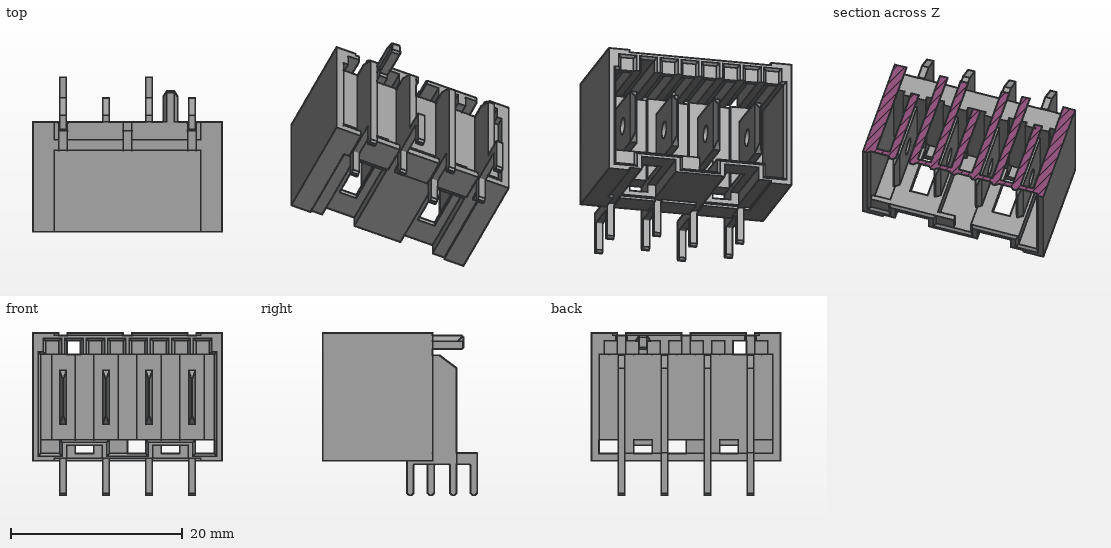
import cadquery as cq

WIDTH = 22.0
DEPTH = 12.8
HEIGHT = 14.9

CAVITY_HALF = 10.1
FLOOR_Z = 0.87
CEILING_Z = 12.4
LEAD_IN = 0.3
WALL_FRONT = 9.5
WALL_BACK = 11.8

KEY_PITCH = 2.5
KEY_COUNT = 8
KEY_WIDTH = 1.55
KEY_TOP_Z = 13.96
OPEN_KEY = 1
PLUG_DEPTH = 0.6

BRIDGE_CENTRES = (-5.0, 5.0)
BRIDGE_HALF = 2.9
BRIDGE_TOP_Z = 2.46
GROOVE_WIDTH = 4.1
GROOVE_TOP_Z = 1.82
WINDOW_WIDTH = 2.14
WINDOW_FRONT = 2.75

RELIEF_WIDTH = 17.06
RELIEF_DEPTH = 0.3
RELIEF_END = 9.5
BAR_BACK = 10.75
TOP_SLOT_WIDTH = 1.0
TOP_SLOT_CENTRE = 0.0
TOP_SLOT_OUTER = 7.5
CENTRE_SLOT_CHAMFER = 0.08
OUTER_SLOT_CHAMFER = 0.17

PITCH = 5.0
CONTACT_COUNT = 4
CONTACT_THICKNESS = 0.8
BLADE_TIP_Y = 1.05
BLADE_Z = 7.4
BLADE_HEIGHT = 6.3
BLADE_HOLE_Y = 5.45
BLADE_HOLE_DIAMETER = 2.0
TIP_LENGTH = 1.0
TIP_TAPER_Z = 0.95
TIP_THICKNESS = 0.12
PILLAR_WIDTH = PITCH - WINDOW_WIDTH
PILLAR_DEPTH = 0.5
END_PILLAR_TRIM = 0.14
PLATE_BACK = 15.6
PLATE_TOP_Z = 12.3
PLATE_TOP_BACK = 13.6
PLATE_SLOPE_Z = 10.8
PLATE_FRONT_CHAMFER = 0.15
FOOT_TOP_Z = 0.94
FOOT_BOTTOM_Z = -0.4
FOOT_FILLET = 0.13
PIN_WIDTH = 0.8
PIN_SPACING = 5.0
PIN_BOTTOM_Z = -4.0
PIN_CHAMFER = 0.26
FAR_PIN_BACK = 18.0
NEAR_PIN_BACK = PLATE_BACK

PEG_X = 5.0
PEG_WIDTH = 1.72
PEG_TOP_WIDTH = 0.86
PEG_STEM_WIDTH = 1.0
PEG_END = 16.4
PEG_BOTTOM_Z = 13.0
PEG_SHOULDER_Z = 13.95
PEG_TOP_Z = HEIGHT - RELIEF_DEPTH
PEG_SIDE_TAPER = 0.67
PEG_CHAMFER = 0.23

OVERCUT = 1.0


def box(x0, x1, y0, y1, z0, z1):
    return cq.Workplane("XY").box(x1 - x0, y1 - y0, z1 - z0, centered=False).translate((x0, y0, z0))


def slab(x, width, y0, y1, z0, z1):
    """Box centred on x."""
    return box(x - width / 2, x + width / 2, y0, y1, z0, z1)


def row(count, pitch):
    return [(i - (count - 1) / 2) * pitch for i in range(count)]


KEYS = row(KEY_COUNT, KEY_PITCH)
CONTACTS = row(CONTACT_COUNT, PITCH)


def mouth_outline(grow):
    """Cavity outline as (x, z) points, widened by grow on all sides but the rib ends."""
    side = CAVITY_HALF + grow
    floor = FLOOR_Z - grow
    shoulder = CEILING_Z + grow
    points = [(-side, shoulder), (-side, floor)]
    for x in BRIDGE_CENTRES:
        half = BRIDGE_HALF - grow
        top = BRIDGE_TOP_Z - grow
        points += [(x - half, floor), (x - half, top), (x + half, top), (x + half, floor)]
    points += [(side, floor), (side, shoulder)]
    for x in reversed(KEYS):
        half = KEY_WIDTH / 2 + grow
        top = KEY_TOP_Z + grow
        right_z = shoulder if x == KEYS[-1] else CEILING_Z
        left_z = shoulder if x == KEYS[0] else CEILING_Z
        points += [(x + half, right_z), (x + half, top), (x - half, top), (x - half, left_z)]
    return points


def wire_at(points, y):
    return cq.Wire.makePolygon([cq.Vector(x, y, z) for x, z in points], close=True)


def cut_cavity(body):
    mouth = wire_at(mouth_outline(LEAD_IN), 0)
    throat = wire_at(mouth_outline(0), LEAD_IN)
    lead_in = cq.Solid.makeLoft([mouth, throat], True)
    body = body.cut(cq.Workplane(obj=lead_in))
    cavity = box(-CAVITY_HALF, CAVITY_HALF, LEAD_IN, WALL_FRONT, FLOOR_Z, CEILING_Z)
    for x in BRIDGE_CENTRES:
        cavity = cavity.cut(slab(x, 2 * BRIDGE_HALF, 0, DEPTH, 0, BRIDGE_TOP_Z))
    for x in CONTACTS:
        left = x - PILLAR_WIDTH / 2 + (END_PILLAR_TRIM if x == CONTACTS[0] else 0)
        right = x + PILLAR_WIDTH / 2
        cavity = cavity.cut(box(left, right, WALL_FRONT - PILLAR_DEPTH, DEPTH, BRIDGE_TOP_Z, CEILING_Z))
    return body.cut(cavity)


def cut_key_tunnels(body):
    """Ceiling slots run to the rear face; all but one are plugged behind the mouth."""
    for i, x in enumerate(KEYS):
        start = LEAD_IN if i == OPEN_KEY else LEAD_IN + PLUG_DEPTH
        body = body.cut(slab(x, KEY_WIDTH, start, DEPTH + OVERCUT, CEILING_Z, KEY_TOP_Z))
    return body


def cut_back_wall(body):
    """Rear pocket, and the passages below the wall beside the bridges."""
    body = body.cut(box(-CAVITY_HALF, CAVITY_HALF, WALL_BACK, DEPTH + OVERCUT, FLOOR_Z, CEILING_Z))
    passage = box(-CAVITY_HALF, CAVITY_HALF, WALL_FRONT - PILLAR_DEPTH, WALL_BACK, FLOOR_Z, BRIDGE_TOP_Z)
    for x in BRIDGE_CENTRES:
        passage = passage.cut(slab(x, 2 * BRIDGE_HALF, 0, DEPTH, 0, BRIDGE_TOP_Z))
    return body.cut(passage)


def cut_bridges(body):
    groove_end = WALL_FRONT - PILLAR_DEPTH
    for x in BRIDGE_CENTRES:
        body = body.cut(slab(x, GROOVE_WIDTH, -OVERCUT, groove_end, -OVERCUT, GROOVE_TOP_Z))
        body = body.cut(slab(x, WINDOW_WIDTH, WINDOW_FRONT, WALL_BACK, FLOOR_Z, BRIDGE_TOP_Z))
    return body


def add_floor_plugs(body):
    """Coding plugs filling the left half of the floor channels at the left and the middle."""
    bridge_left = BRIDGE_CENTRES[0] - BRIDGE_HALF
    bridge_right = BRIDGE_CENTRES[0] + BRIDGE_HALF
    for left, right in ((-CAVITY_HALF, bridge_left), (bridge_right, 0)):
        body = body.union(box(left, right, LEAD_IN, LEAD_IN + PLUG_DEPTH, FLOOR_Z, BRIDGE_TOP_Z))
    return body


def cut_reliefs(body):
    top = HEIGHT - RELIEF_DEPTH
    body = body.cut(slab(0, RELIEF_WIDTH, -OVERCUT, RELIEF_END, top, HEIGHT + OVERCUT))
    body = body.cut(slab(0, RELIEF_WIDTH, BAR_BACK, DEPTH + OVERCUT, top, HEIGHT + OVERCUT))
    return body.cut(slab(0, RELIEF_WIDTH, -OVERCUT, RELIEF_END, -OVERCUT, RELIEF_DEPTH))


def cut_pin_notches(body):
    """Notches in the underside, from the relief back to the front pin of each contact."""
    for x in CONTACTS:
        body = body.cut(slab(x, CONTACT_THICKNESS, RELIEF_END, DEPTH + OVERCUT, -OVERCUT, RELIEF_DEPTH))
    return body


def cut_top_slot(body, x, chamfer):
    """Slot in the rear edge of the roof, with chamfered mouth corners."""
    half = TOP_SLOT_WIDTH / 2
    slot = (
        cq.Workplane("XY", origin=(x, 0, CEILING_Z))
        .polyline([
            (-half, RELIEF_END), (half, RELIEF_END),
            (half, DEPTH - chamfer), (half + chamfer, DEPTH),
            (-half - chamfer, DEPTH), (-half, DEPTH - chamfer),
        ])
        .close()
        .extrude(HEIGHT + OVERCUT - CEILING_Z)
    )
    return body.cut(slot)


def make_housing():
    body = slab(0, WIDTH, 0, DEPTH, 0, HEIGHT)
    body = cut_cavity(body)
    body = cut_key_tunnels(body)
    body = cut_back_wall(body)
    body = cut_bridges(body)
    body = add_floor_plugs(body)
    body = cut_reliefs(body)
    body = cut_pin_notches(body)
    body = cut_top_slot(body, TOP_SLOT_CENTRE, CENTRE_SLOT_CHAMFER)
    for x in (-TOP_SLOT_OUTER, TOP_SLOT_OUTER):
        body = cut_top_slot(body, x, OUTER_SLOT_CHAMFER)
    return body


def make_blade(x):
    """Flat tab with a four-sided tapered tip and a cross hole."""
    def section(y, thickness, height):
        t = thickness / 2
        h = height / 2
        corners = [(-t, -h), (t, -h), (t, h), (-t, h)]
        return wire_at([(x + dx, BLADE_Z + dz) for dx, dz in corners], y)

    shoulder_y = BLADE_TIP_Y + TIP_LENGTH
    shoulder = section(shoulder_y, CONTACT_THICKNESS, BLADE_HEIGHT)
    tip = section(BLADE_TIP_Y, TIP_THICKNESS, BLADE_HEIGHT - 2 * TIP_TAPER_Z)
    low = BLADE_Z - BLADE_HEIGHT / 2
    blade = slab(x, CONTACT_THICKNESS, shoulder_y, DEPTH, low, low + BLADE_HEIGHT)
    blade = blade.union(cq.Workplane(obj=cq.Solid.makeLoft([tip, shoulder], True)))
    hole = (
        cq.Workplane("YZ", origin=(x, BLADE_HOLE_Y, BLADE_Z))
        .circle(BLADE_HOLE_DIAMETER / 2)
        .extrude(CONTACT_THICKNESS, both=True)
    )
    return blade.cut(hole)


def make_pin(x, back):
    pin = slab(x, CONTACT_THICKNESS, back - PIN_WIDTH, back, PIN_BOTTOM_Z, FOOT_BOTTOM_Z)
    return pin.faces("<Z").edges("|X").chamfer(PIN_CHAMFER)


def make_contact(x, pin_back):
    """Blade, upright plate and a forked foot whose rear pin ends at pin_back."""
    plate = (
        cq.Workplane("YZ", origin=(x - CONTACT_THICKNESS / 2, 0, 0))
        .polyline([
            (WALL_BACK, FOOT_TOP_Z), (PLATE_BACK, FOOT_TOP_Z),
            (PLATE_BACK, PLATE_SLOPE_Z), (PLATE_TOP_BACK, PLATE_TOP_Z),
            (WALL_BACK + PLATE_FRONT_CHAMFER, PLATE_TOP_Z), (WALL_BACK, PLATE_TOP_Z - PLATE_FRONT_CHAMFER),
        ])
        .close()
        .extrude(CONTACT_THICKNESS)
    )
    foot_front = pin_back - PIN_SPACING - PIN_WIDTH
    foot = slab(x, CONTACT_THICKNESS, foot_front, pin_back, FOOT_BOTTOM_Z, FOOT_TOP_Z)
    foot = foot.union(make_pin(x, pin_back)).union(make_pin(x, pin_back - PIN_SPACING))
    crotch = cq.selectors.BoxSelector(
        (x - PIN_WIDTH, foot_front + PIN_WIDTH / 2, FOOT_BOTTOM_Z - FOOT_FILLET),
        (x + PIN_WIDTH, pin_back - PIN_WIDTH / 2, FOOT_BOTTOM_Z + FOOT_FILLET),
    )
    foot = foot.edges("|X").edges(crotch).fillet(FOOT_FILLET)
    if pin_back > PLATE_BACK:
        foot = foot.faces(">Y").edges(">Z").fillet(FOOT_FILLET)
    return make_blade(x).union(plate).union(foot)


def make_peg():
    half = PEG_WIDTH / 2
    top_half = PEG_TOP_WIDTH / 2
    stem_half = PEG_STEM_WIDTH / 2
    length = PEG_END - DEPTH
    section = [
        (-stem_half, PEG_BOTTOM_Z), (stem_half, PEG_BOTTOM_Z),
        (stem_half, PEG_SHOULDER_Z), (half, PEG_SHOULDER_Z),
        (top_half, PEG_TOP_Z), (-top_half, PEG_TOP_Z),
        (-half, PEG_SHOULDER_Z), (-stem_half, PEG_SHOULDER_Z),
    ]
    peg = cq.Workplane("XZ", origin=(PEG_X, DEPTH, 0)).polyline(section).close().extrude(-length)
    plan = [
        (-half, DEPTH), (half, DEPTH), (half, PEG_END - PEG_SIDE_TAPER),
        (top_half, PEG_END), (-top_half, PEG_END), (-half, PEG_END - PEG_SIDE_TAPER),
    ]
    plan_sketch = cq.Workplane("XY", origin=(PEG_X, 0, PEG_BOTTOM_Z)).polyline(plan).close()
    peg = peg.intersect(plan_sketch.extrude(PEG_TOP_Z - PEG_BOTTOM_Z))
    profile = slab(PEG_X, PEG_WIDTH, DEPTH, PEG_END, PEG_BOTTOM_Z, PEG_TOP_Z)
    return peg.intersect(profile.faces(">Y").edges("|X").chamfer(PEG_CHAMFER))


result = make_housing().union(make_peg())
for i, contact_x in enumerate(CONTACTS):
    far_footed = i % 2 == 0
    rear_pin_back = FAR_PIN_BACK if far_footed else NEAR_PIN_BACK
    result = result.union(make_contact(contact_x, rear_pin_back))